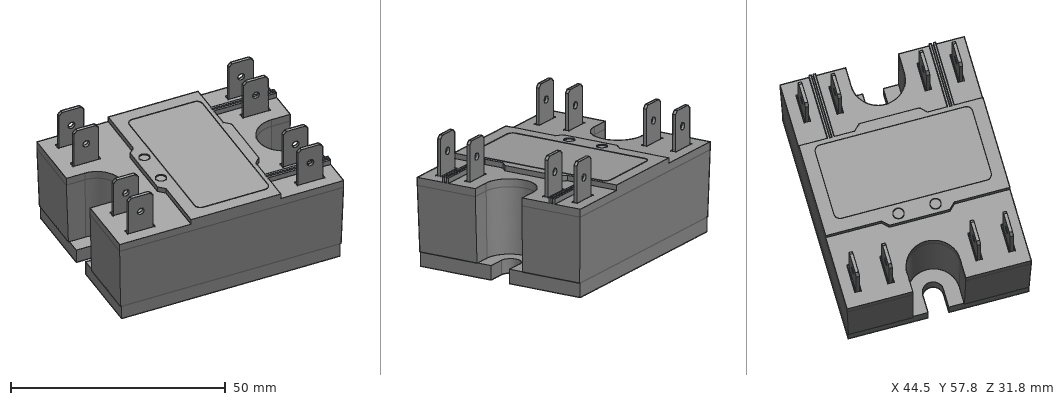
import cadquery as cq
import math

housing_width = 44.5
housing_length = 57.8
draft_angle = 1.5

pad_thickness = 0.12
plate_top = 3.7
taper_top = 20.15
deck_top = 22.1
panel_top = 23.4
blade_top = 31.82
body_draft = (taper_top - plate_top) * math.tan(math.radians(draft_angle))

plate_width = housing_width - 2 * body_draft
plate_length = 56.4
pad_width = 42.0
pad_length = 34.2

slot_radius = 2.5
slot_center_y = 23.6
recess_radius = 6.4
recess_center_y = 24.05
recess_draft_angle = 0.75

panel_front_y = -10.5
panel_back_y = 12.7
tab_depth = 1.5
tab_base_half_width = 8.8
tab_tip_half_width = tab_base_half_width - tab_depth

label_width = 38.0
label_front_y = -7.3
label_back_y = 11.6
label_corner_radius = 1.5
label_depth = 0.1
window_x = 4.47
window_y = -9.7
window_diameter = 2.6
window_depth = 0.3

rib_pair_x = 14.5
rib_width = 0.55
rib_gap = 0.5

blade_columns = (-18.6, -10.65, 10.65, 18.6)
blade_row_y = 21.9
blade_thickness = 0.8
blade_width = 6.35
blade_chamfer = 0.8
blade_hole_diameter = 1.7
blade_hole_z = 27.3
pocket_width = 1.5
pocket_length = 7.1
pocket_depth = 1.0


def block(width, length, bottom, top, x=0, y=0):
    """Box centred on (x, y) between two heights."""
    return (
        cq.Workplane("XY", origin=(x, y, bottom))
        .box(width, length, top - bottom, centered=(True, True, False))
    )


def u_notch(radius, center_y, side, z):
    """U-shaped outline open past the +Y (side = 1) or -Y (side = -1) edge."""
    open_y = side * housing_length
    arc_y = side * center_y
    return (
        cq.Workplane("XY", origin=(0, 0, z))
        .moveTo(-radius, open_y)
        .lineTo(-radius, arc_y)
        .threePointArc((0, arc_y - side * radius), (radius, arc_y))
        .lineTo(radius, open_y)
        .close()
    )


def make_base():
    base = block(plate_width, plate_length, pad_thickness, plate_top)
    pad = block(pad_width, pad_length, 0, pad_thickness)
    base = base.union(pad)
    for side in (-1, 1):
        base = base.cut(u_notch(slot_radius, slot_center_y, side, 0).extrude(plate_top))
    return base


def make_housing():
    body = (
        cq.Workplane("XY", origin=(0, 0, taper_top))
        .rect(housing_width, housing_length)
        .extrude(plate_top - taper_top, taper=draft_angle)
    )
    housing = body.union(block(housing_width, housing_length, taper_top, deck_top))
    for side in (-1, 1):
        straight_outline = u_notch(recess_radius, recess_center_y, side, taper_top)
        straight_part = straight_outline.extrude(deck_top - taper_top)
        tapered_outline = u_notch(recess_radius, recess_center_y, side, taper_top)
        tapered_part = tapered_outline.extrude(plate_top - taper_top, taper=recess_draft_angle)
        housing = housing.cut(straight_part).cut(tapered_part)
    return housing


def make_panel():
    half_width = housing_width / 2
    panel = (
        cq.Workplane("XY", origin=(0, 0, deck_top))
        .moveTo(-half_width, panel_front_y)
        .lineTo(-tab_base_half_width, panel_front_y)
        .lineTo(-tab_tip_half_width, panel_front_y - tab_depth)
        .lineTo(tab_tip_half_width, panel_front_y - tab_depth)
        .lineTo(tab_base_half_width, panel_front_y)
        .lineTo(half_width, panel_front_y)
        .lineTo(half_width, panel_back_y)
        .lineTo(tab_base_half_width, panel_back_y)
        .lineTo(tab_tip_half_width, panel_back_y + tab_depth)
        .lineTo(-tab_tip_half_width, panel_back_y + tab_depth)
        .lineTo(-tab_base_half_width, panel_back_y)
        .lineTo(-half_width, panel_back_y)
        .close()
        .extrude(panel_top - deck_top)
    )
    label_length = label_back_y - label_front_y
    label_y = (label_back_y + label_front_y) / 2
    label = block(label_width, label_length, panel_top - label_depth, panel_top, y=label_y)
    label = label.edges("|Z").fillet(label_corner_radius)
    windows = (
        cq.Workplane("XY", origin=(0, window_y, panel_top))
        .pushPoints([(-window_x, 0), (window_x, 0)])
        .circle(window_diameter / 2)
        .extrude(-window_depth)
    )
    return panel.cut(label).cut(windows)


def add_ribs(part):
    back_y = housing_length / 2
    rib_length = back_y - panel_back_y
    rib_y = (back_y + panel_back_y) / 2
    rib_offset = (rib_gap + rib_width) / 2
    for pair_x in (-rib_pair_x, rib_pair_x):
        for offset in (-rib_offset, rib_offset):
            rib = block(rib_width, rib_length, deck_top, panel_top, pair_x + offset, rib_y)
            part = part.union(rib)
    return part


def make_blade(x, y):
    blade = block(blade_thickness, blade_width, deck_top - pocket_depth, blade_top, x, y)
    blade = blade.faces(">Z").edges("|X").chamfer(blade_chamfer)
    hole = (
        cq.Workplane("YZ", origin=(x, y, blade_hole_z))
        .circle(blade_hole_diameter / 2)
        .extrude(blade_thickness, both=True)
    )
    return blade.cut(hole)


def add_terminals(part):
    for x in blade_columns:
        for y in (-blade_row_y, blade_row_y):
            pocket = block(pocket_width, pocket_length, deck_top - pocket_depth, deck_top, x, y)
            part = part.cut(pocket).union(make_blade(x, y))
    return part


result = make_base().union(make_housing()).union(make_panel())
result = add_ribs(result)
result = add_terminals(result)